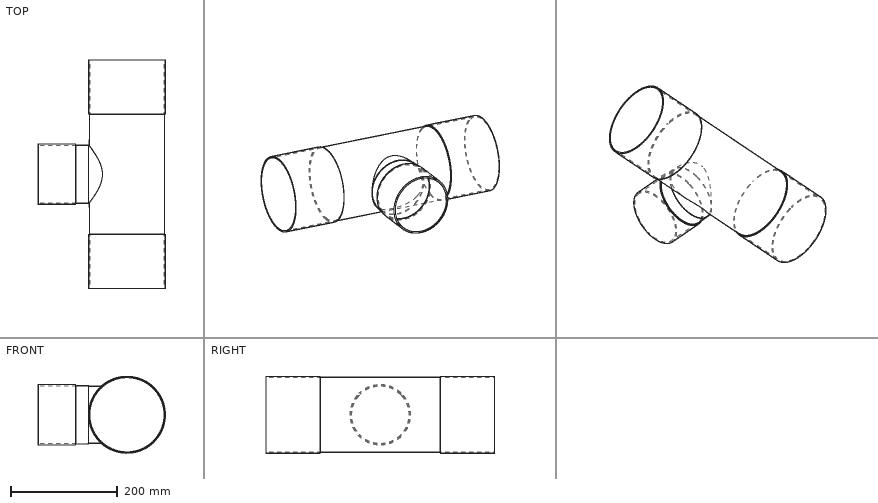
import cadquery as cq

run_length = 430.0
run_socket_length = 102.5
run_socket_diameter = 145.0
run_bore_diameter = 139.8
run_body_diameter = 142.0

branch_reach = 167.3
branch_socket_length = 71.0
branch_socket_diameter = 114.0
branch_bore_diameter = 108.0
branch_neck_diameter = 110.0
saddle_diameter = 108.0
saddle_start = run_socket_diameter / 2

shoulder_length = 1.0


def cylinder(plane, diameter, length):
    """Cylinder standing on the origin of the plane, along its normal."""
    return cq.Workplane(plane).circle(diameter / 2).extrude(length)


def socket_outside(plane, socket_diameter, pipe_diameter, length):
    """Collar starting at its mouth and ending in a short conical shoulder."""
    collar = cylinder(plane, socket_diameter, length)
    step = (socket_diameter - pipe_diameter) / 2
    rim = collar.faces(cq.selectors.DirectionMinMaxSelector(plane.zDir, True)).edges()
    return rim.chamfer(shoulder_length, step)


def run_plane(end):
    """Plane at a run mouth (end is -1 or 1), its normal pointing inwards."""
    return cq.Plane(origin=(0, end * run_length / 2, 0), xDir=(1, 0, 0), normal=(0, -end, 0))


def branch_plane(reach):
    """Plane across the branch at x = -reach, its normal pointing to the run."""
    return cq.Plane(origin=(-reach, 0, 0), xDir=(0, 1, 0), normal=(1, 0, 0))


neck_start = branch_reach - branch_socket_length
neck_length = neck_start - saddle_start
branch_mouth = branch_plane(branch_reach)

result = cylinder(run_plane(-1), run_body_diameter, run_length)
result = result.union(cylinder(branch_plane(saddle_start), saddle_diameter, saddle_start))
result = result.union(cylinder(branch_plane(neck_start), branch_neck_diameter, neck_length))
result = result.union(
    socket_outside(branch_mouth, branch_socket_diameter, branch_neck_diameter, branch_socket_length)
)

for end in (-1, 1):
    mouth = run_plane(end)
    result = result.union(
        socket_outside(mouth, run_socket_diameter, run_body_diameter, run_socket_length)
    )
    result = result.cut(cylinder(mouth, run_bore_diameter, run_socket_length))

result = result.cut(cylinder(branch_mouth, branch_bore_diameter, branch_socket_length))